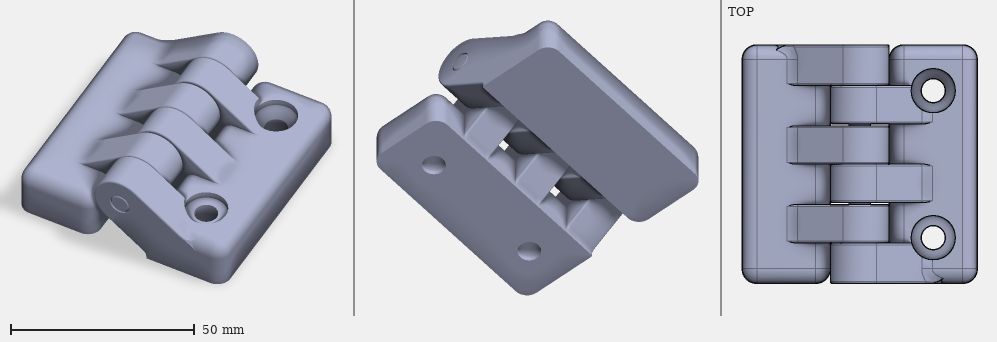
import cadquery as cq
import math


total_width = 64.0
length = 64.9
leaf_inner_x = 8.0
leaf_outer_x = total_width / 2
leaf_height = 14.0
leaf_round = 4.0

hinge_height = 25.0
barrel_radius = 8.0
axis_z = hinge_height - barrel_radius
slope_angle = math.radians(35)
root_blend = 5.0
relief_run = 2.2
underside_round = 2.0
arm_edge_round = 0.5

arms_per_leaf = 3
inner_arm_width = 10.45
arm_clearance = 0.5
arm_pitch = 2 * inner_arm_width + arm_clearance
corner_arm_width = length / 2 - arm_pitch

pin_diameter = 6.0
pin_chamfer = 0.5

screw_x = 20.0
screw_y = 20.0
screw_diameter = 6.5
head_diameter = 12.0
head_depth = 2.0
countersink_depth = (head_diameter - screw_diameter) / 2

root_end_x = 24.65
overrun = 13.0

slope_sin = math.sin(slope_angle)
slope_cos = math.cos(slope_angle)
slope_tan = math.tan(slope_angle)
upper_slope_foot_x = (axis_z + barrel_radius / slope_cos) / slope_tan


def leaf_plate():
    plate = cq.Workplane("XY").box(
        leaf_outer_x - leaf_inner_x, length, leaf_height, centered=(False, True, False)
    )
    plate = plate.translate((leaf_inner_x, 0, 0))
    return plate.edges("|Z or >Z").fillet(leaf_round)


def arm_bar(start_y, bar_length):
    """Barrel and both slopes, run down to Z = 0."""
    tangent_dx = barrel_radius * slope_sin
    tangent_dz = barrel_radius * slope_cos
    underside_z = axis_z - barrel_radius / slope_cos - leaf_inner_x * slope_tan
    bar = (
        cq.Workplane("XZ", origin=(0, start_y, 0))
        .moveTo(tangent_dx, axis_z + tangent_dz)
        .lineTo(upper_slope_foot_x, 0)
        .lineTo(leaf_inner_x, 0)
        .lineTo(leaf_inner_x, underside_z)
        .lineTo(-tangent_dx, axis_z - tangent_dz)
        .threePointArc((-tangent_dz, axis_z + tangent_dx), (tangent_dx, axis_z + tangent_dz))
        .close()
        .extrude(-bar_length)
    )
    corner = cq.selectors.NearestToPointSelector((leaf_inner_x, start_y + bar_length / 2, underside_z))
    return bar.edges("|Y").edges(corner).fillet(underside_round)


def corner_relief(end_y):
    """Space beyond the oblique face that ends the root blend on the leaf's end face."""
    face = cq.Plane(
        origin=(upper_slope_foot_x, end_y, 0),
        xDir=(slope_cos, 0, -slope_sin),
        normal=(1, -relief_run, 1 / slope_tan),
    )
    return cq.Workplane(face).rect(2 * length, 2 * length).extrude(length)


def knuckle_arm(start_y, arm_width, at_corner):
    root_start_x = leaf_inner_x + leaf_round
    root_start_y = start_y if at_corner else start_y - 2 * overrun
    root = cq.Workplane("XY").box(length, length, leaf_height, centered=False)
    root = root.translate((root_start_x, root_start_y, 0))
    if at_corner:
        root = root.edges("<Y and >Z").fillet(leaf_round)

    arm = root.union(arm_bar(start_y - overrun, overrun + arm_width))
    slope_meets_leaf_x = upper_slope_foot_x - leaf_height / slope_tan
    meeting_line = cq.selectors.NearestToPointSelector(
        (slope_meets_leaf_x, start_y + (arm_width + leaf_round) / 2, leaf_height)
    )
    arm = arm.edges("|Y").edges(meeting_line).fillet(root_blend)
    trim = cq.Workplane("XY").box(
        root_end_x + barrel_radius + overrun, arm_width, hinge_height + overrun, centered=False
    )
    arm = arm.intersect(trim.translate((-barrel_radius - overrun, start_y, 0)))

    arm = arm.faces("<Y or >Y").edges("<X").fillet(arm_edge_round)
    if at_corner:
        arm = arm.cut(corner_relief(start_y))
    return arm


def bare_leaf():
    leaf = leaf_plate().union(knuckle_arm(-length / 2, corner_arm_width, at_corner=True))
    for index in range(arms_per_leaf - 1):
        start_y = index * arm_pitch - inner_arm_width
        leaf = leaf.union(knuckle_arm(start_y, inner_arm_width, at_corner=False))
    return leaf


def pin_cylinder():
    return cq.Workplane("XZ", origin=(0, -length / 2, axis_z)).circle(pin_diameter / 2).extrude(-length)


def screw_cutter(y, countersunk):
    """Screw hole with a straight head recess that stays open upwards."""
    recess_floor_z = leaf_height - head_depth
    cutter = cq.Workplane("XY", origin=(screw_x, y, 0)).circle(screw_diameter / 2).extrude(leaf_height)
    recess = cq.Workplane("XY", origin=(screw_x, y, recess_floor_z)).circle(head_diameter / 2)
    cutter = cutter.union(recess.extrude(hinge_height))
    if countersunk:
        cone = cq.Solid.makeCone(
            screw_diameter / 2,
            head_diameter / 2,
            countersink_depth,
            pnt=cq.Vector(screw_x, y, recess_floor_z - countersink_depth),
        )
        cutter = cutter.union(cq.Workplane(cone))
    return cutter


leaf = bare_leaf().cut(pin_cylinder())
opposite_leaf = leaf.rotate((0, 0, 0), (0, 0, 1), 180)
drilled_leaf = leaf.cut(screw_cutter(screw_y, countersunk=True))
drilled_leaf = drilled_leaf.cut(screw_cutter(-screw_y, countersunk=False))
pin = pin_cylinder().faces("<Y or >Y").chamfer(pin_chamfer)
result = pin.union(drilled_leaf).union(opposite_leaf)